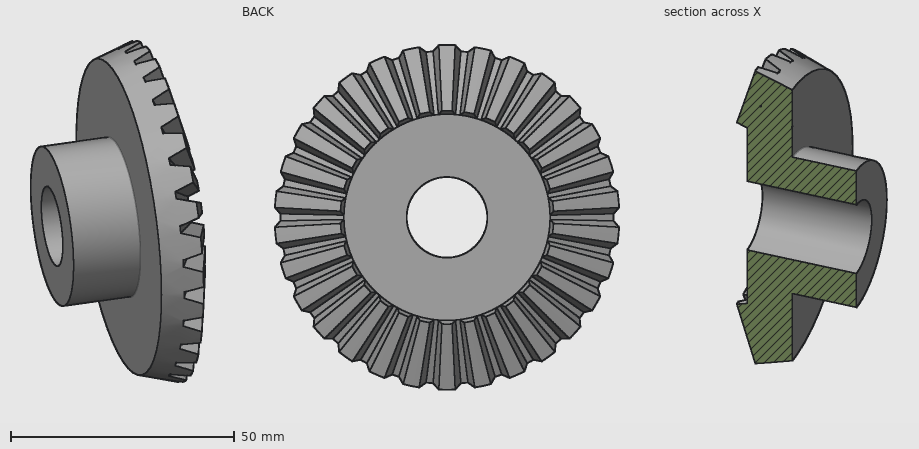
import math

import cadquery as cq


tip_radius = 38.6
tip_height = 9.0
gear_thickness = 13.5
back_cone_angle = math.radians(17.5)
face_angle = math.radians(17.0)
hub_radius = 18.05
hub_length = 15.5
hub_fillet_radius = 0.1
bore_radius = 9.0

tooth_count = 30
pitch_angle = 360 / tooth_count
tip_half_angle = 2.72
root_drop = 4.15
root_slot_half_width = 0.79

mouth_overrun = 1.0
inner_cutter_scale = 0.5
outer_cutter_scale = 1.2

apex_height = tip_height + tip_radius * math.tan(face_angle)
base_radius = tip_radius - tip_height * math.tan(back_cone_angle)
root_radius = tip_radius - root_drop * math.tan(back_cone_angle)
root_height = tip_height - root_drop

inner_tip_radius = (apex_height - gear_thickness) / math.tan(face_angle)
inner_scale = inner_tip_radius / tip_radius
inner_root_radius = root_radius * inner_scale
recess_height = apex_height - (apex_height - root_height) * inner_scale


def make_blank():
    """Toothless gear with hub and bore, revolved about Y."""
    fillet_offset = hub_fillet_radius * (1 - math.sqrt(0.5))
    profile = (
        cq.Workplane("XY")
        .moveTo(bore_radius, -hub_length)
        .lineTo(hub_radius, -hub_length)
        .lineTo(hub_radius, -hub_fillet_radius)
        .threePointArc(
            (hub_radius + fillet_offset, -fillet_offset),
            (hub_radius + hub_fillet_radius, 0),
        )
        .lineTo(base_radius, 0)
        .lineTo(tip_radius, tip_height)
        .lineTo(inner_tip_radius, gear_thickness)
        .lineTo(inner_root_radius, recess_height)
        .lineTo(bore_radius, recess_height)
        .close()
    )
    return profile.revolve(360, (0, 0, 0), (0, 1, 0))


def slot_section(scale):
    """Trapezoidal slot outline on a plane of constant Z, scaled about the apex."""
    slot_half_angle = math.radians(pitch_angle / 2 - tip_half_angle)
    tip_half_width = root_radius * math.tan(slot_half_angle)
    ray_scale = root_radius / (tip_radius * math.cos(slot_half_angle))
    tip_drop = (apex_height - tip_height) * ray_scale

    floor_drop = apex_height - root_height
    flank_slope = (tip_half_width - root_slot_half_width) / (floor_drop - tip_drop)
    mouth_drop = tip_drop - mouth_overrun
    mouth_half_width = tip_half_width + flank_slope * mouth_overrun

    floor_x = root_slot_half_width * scale
    floor_y = apex_height - floor_drop * scale
    mouth_x = mouth_half_width * scale
    mouth_y = apex_height - mouth_drop * scale
    section_z = root_radius * scale
    corners = [
        cq.Vector(-floor_x, floor_y, section_z),
        cq.Vector(floor_x, floor_y, section_z),
        cq.Vector(mouth_x, mouth_y, section_z),
        cq.Vector(-mouth_x, mouth_y, section_z),
    ]
    return cq.Wire.makePolygon(corners, close=True)


def make_slot():
    """Tapered cutter for one tooth gap, running from inside the recess to beyond the rim."""
    sections = [slot_section(inner_cutter_scale), slot_section(outer_cutter_scale)]
    return cq.Workplane(cq.Solid.makeLoft(sections, True))


def cut_teeth(blank):
    """Cut all tooth gaps, leaving a tooth centred on +Z."""
    gear = blank
    slot = make_slot()
    for index in range(tooth_count):
        angle = (index + 0.5) * pitch_angle
        gear = gear.cut(slot.rotate((0, 0, 0), (0, 1, 0), angle))
    return gear


result = cut_teeth(make_blank())